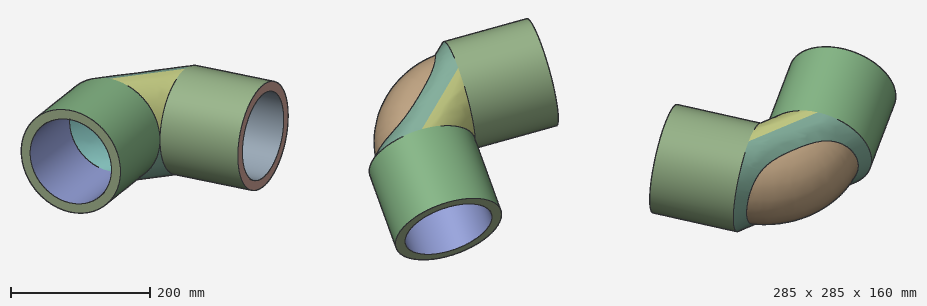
import cadquery as cq

overall = 285.0
outer_diameter = 160.0
wall = 14.5

outer_radius = outer_diameter / 2
bore_radius = outer_radius - wall
leg_length = overall - outer_diameter
corner_x = outer_diameter
corner_y = leg_length


def front_leg(radius):
    """Straight cylinder along Y, from the front opening to the bend."""
    return cq.Workplane("XZ").center(outer_radius, 0).circle(radius).extrude(-leg_length)


def side_leg(radius):
    """Straight cylinder along X, from the bend to the side opening."""
    return (
        cq.Workplane("YZ", origin=(corner_x, corner_y + outer_radius, 0))
        .circle(radius)
        .extrude(leg_length)
    )


def diagonal_bend(radius):
    """Front leg's end circle swept at 45 degrees onto the side leg's end circle."""
    front_circle = cq.Wire.makeCircle(
        radius, cq.Vector(outer_radius, corner_y, 0), cq.Vector(0, 1, 0)
    )
    sweep = cq.Vector(outer_diameter, outer_diameter, 0)
    oblique_cylinder = cq.Workplane(cq.Solid.extrudeLinear(front_circle, [], sweep))
    trim_block = cq.Workplane("XY").box(
        corner_x, 2 * overall, 2 * outer_diameter, centered=(False, False, True)
    )
    return oblique_cylinder.intersect(trim_block)


def round_bend(radius):
    """Quarter torus centred on the inside corner."""
    return (
        cq.Workplane("XZ", origin=(outer_radius, corner_y, 0))
        .circle(radius)
        .revolve(90, (outer_radius, 0, 0), (outer_radius, -1, 0))
    )


def straight_sided_elbow(radius):
    """Both legs joined by the diagonal bend."""
    legs = front_leg(radius).union(side_leg(radius))
    return legs.union(diagonal_bend(radius))


outside = straight_sided_elbow(outer_radius).union(round_bend(bore_radius))
result = outside.cut(straight_sided_elbow(bore_radius))